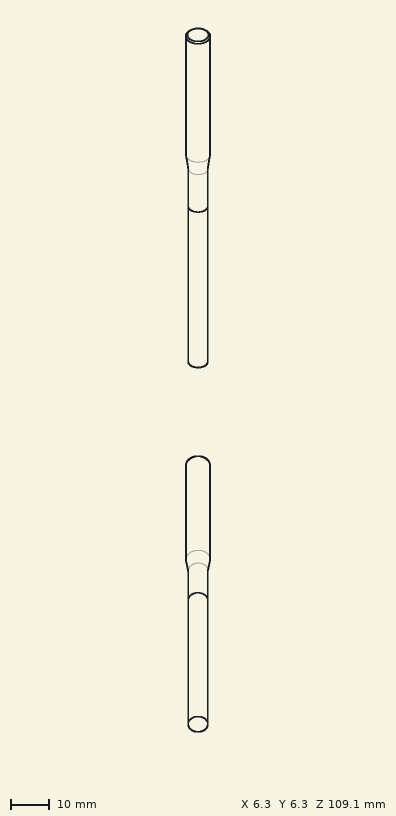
import cadquery as cq
import math

total_length = 109.1
shank_diameter = 6.3
cutter_diameter = 5.1
shank_length = 39.5
taper_length = 4.6
neck_length = 12.4
end_chamfer = 0.4
point_angle = 130.0

shank_radius = shank_diameter / 2
cutter_radius = cutter_diameter / 2
point_height = cutter_radius / math.tan(math.radians(point_angle / 2))
shank_bottom = total_length - shank_length
taper_bottom = shank_bottom - taper_length
joint_height = taper_bottom - neck_length


def revolve_profile(outline):
    """Revolve a closed (radius, height) outline about Z."""
    return cq.Workplane("XZ").polyline(outline).close().revolve(360, (0, 0), (0, 1))


def make_shank():
    """Chamfered shank with a taper down to the neck."""
    outline = [
        (0, joint_height),
        (cutter_radius, joint_height),
        (cutter_radius, taper_bottom),
        (shank_radius, shank_bottom),
        (shank_radius, total_length - end_chamfer),
        (shank_radius - end_chamfer, total_length),
        (0, total_length),
    ]
    return revolve_profile(outline)


def make_cutter():
    """Cylindrical cutting section with a conical point, butted against the neck."""
    outline = [
        (0, 0),
        (cutter_radius, point_height),
        (cutter_radius, joint_height),
        (0, joint_height),
    ]
    return revolve_profile(outline)


shank = make_shank()
cutter = make_cutter()

result = cq.Compound.makeCompound([shank.val(), cutter.val()])